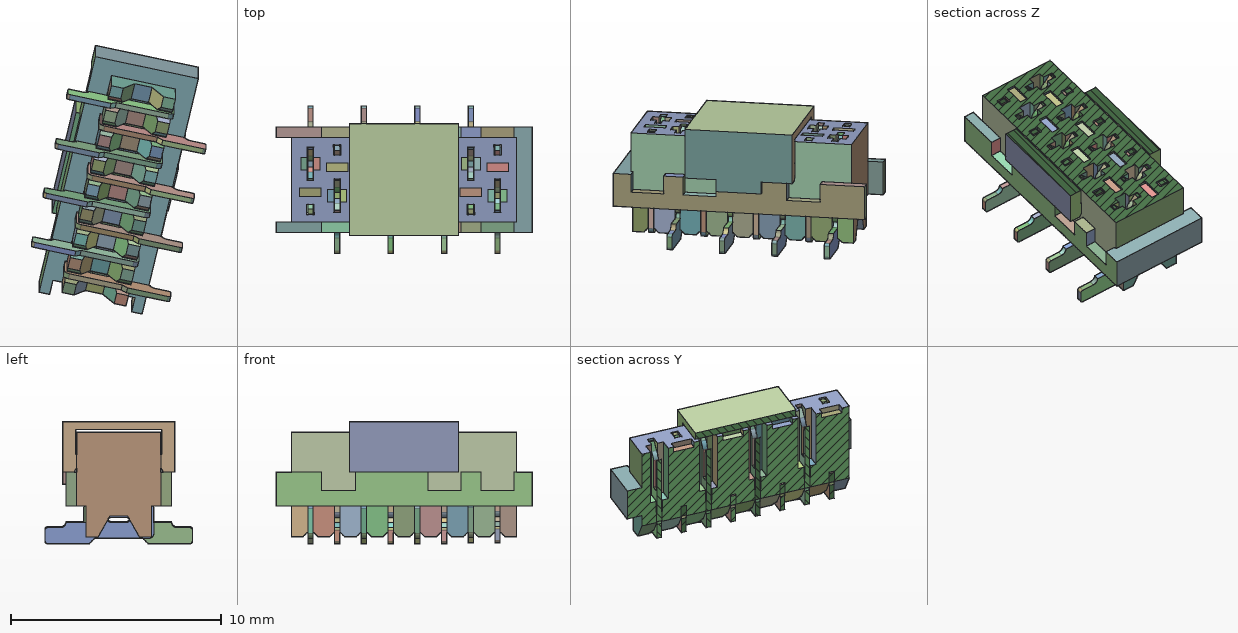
import cadquery as cq
import math


cap_top = 5.8
block_top = 5.3
flange_top = 3.4
flange_bottom = 1.79
skirt_bottom = 0.33

block_length = 10.68
block_width = 3.99
flange_left = -6.07
flange_length = 12.16
flange_right = flange_left + flange_length
flange_width = 5.01
skirt_width = 3.11

notch_floor = 2.53
flange_notches = [(-3.92, -2.3), (1.13, 2.71), (3.66, 5.23)]

channel_top = 1.31
channel_top_width = 0.84
channel_bottom_width = 1.96

contact_count = 8
contact_row_length = 8.88
contact_pitch = contact_row_length / (contact_count - 1)
raised_contacts = (6, 7)
raise_height = 0.05

fork_slot_thickness = 0.3
fork_slot_start = -0.04
fork_slot_end = 1.55
blade_opening = (0.9, 0.6)
blade_opening_y = 0.75
blade_opening_floor = 2.43
post_hole = (0.35, 0.49)
post_hole_y = -1.41
key_pocket = (1.02, 0.39)
key_pocket_y = -0.6
key_pocket_depth = 0.28
relief_width = 0.72
relief_depth = 0.2

contact_thickness = 0.25
tail_end = 3.5
tail_top = 0.77
tail_corner = 0.12
shoulder_y = 2.5
beam_top = 1.02
beam_bottom = 0.25
shoulder_radius = beam_top - tail_top
foot_start = 1.4
foot_slope = beam_bottom
fork_corner_radius = 0.25
neck_outer = 1.22
neck_radius = 0.21
fork_outer = 1.5
fork_inner = -0.01
fork_top = 5.17
fork_tip_width = 0.06
fork_gap_width = 0.28
fork_gap_floor = 2.92
lead_in_end = 4.8
lead_in_run = 0.32
throat_bottom = 4.44
throat_bulge = 0.04
post_outer = -1.63
post_inner = -1.18
post_tip_width = 0.24
post_tip = 5.23
post_slope_drop = 0.23
heel_y = -1.67
heel_radius = 0.24
heel_top = 1.67
window_length = 1.01
window_top = 1.24
bridge_top = flange_bottom - raise_height

cap_length = 5.19
cap_width = 5.31
cap_bottom = flange_top
cap_ceiling = 5.42
cap_recess_width = 4.07
cap_grip_top = 4.27
cap_grip_slope = 0.05
cap_lead_in_start = 3.6
cap_lead_in_width = 4.23
tab_length = 2.19
tab_bottom = 2.82


def box(x_range, y_range, z_range):
    """Box between two limits on each axis."""
    (x0, x1), (y0, y1), (z0, z1) = x_range, y_range, z_range
    return cq.Workplane("XY").box(x1 - x0, y1 - y0, z1 - z0, centered=False).translate((x0, y0, z0))


def centered(size, middle=0.0):
    """Limits of a stretch of the given size about its middle."""
    return (middle - size / 2, middle + size / 2)


def yz_prism(outline, length):
    """Closed YZ outline extruded to a length centred on X = 0."""
    return outline.extrude(length / 2, both=True)


def tail_to_minus_y(index):
    """Every second contact points its tail to -Y."""
    return index % 2 == 1


def place(body, index, lift=0.0):
    """Put a body made at X = 0 with its tail side at +Y into its place in the row."""
    if tail_to_minus_y(index):
        body = body.mirror("XZ")
    return body.translate((index * contact_pitch - contact_row_length / 2, 0, lift))


def arc_middle(center, radius, side):
    """Middle of a lower quarter arc, on the +Y side (side = 1) or -Y side (side = -1)."""
    reach = radius * math.sqrt(0.5)
    return (center[0] + side * reach, center[1] - reach)


def make_contact():
    """Flat stamped contact: board tail, cross beam, heel, retention post and fork."""
    fork_middle = (fork_outer + fork_inner) / 2
    gap_outer = fork_middle + fork_gap_width / 2
    gap_inner = fork_middle - fork_gap_width / 2
    tip_outer = fork_outer - fork_tip_width
    tip_inner = fork_inner + fork_tip_width
    throat_outer = tip_outer - lead_in_run
    throat_inner = tip_inner + lead_in_run
    throat_middle = (lead_in_end + throat_bottom) / 2
    heel_center = (heel_y + heel_radius, beam_bottom + heel_radius)
    fork_corner_center = (fork_outer - fork_corner_radius, window_top + fork_corner_radius)
    neck_center = (neck_outer + neck_radius, beam_top + neck_radius)
    shoulder_center = (shoulder_y + shoulder_radius, beam_top)
    outline = (
        cq.Workplane("YZ")
        .moveTo(tail_end, 0)
        .lineTo(foot_start, 0)
        .lineTo(foot_start - foot_slope, beam_bottom)
        .lineTo(heel_center[0], beam_bottom)
        .threePointArc(arc_middle(heel_center, heel_radius, -1), (heel_y, heel_center[1]))
        .lineTo(heel_y, heel_top)
        .lineTo(post_outer, flange_bottom)
        .lineTo(post_outer, post_tip)
        .lineTo(post_outer + post_tip_width, post_tip)
        .lineTo(post_inner, post_tip - post_slope_drop)
        .lineTo(post_inner, bridge_top)
        .lineTo(fork_inner, bridge_top)
        .lineTo(fork_inner, fork_top)
        .lineTo(tip_inner, fork_top)
        .lineTo(throat_inner, lead_in_end)
        .threePointArc(
            ((throat_inner + gap_inner) / 2 + throat_bulge, throat_middle + throat_bulge),
            (gap_inner, throat_bottom),
        )
        .lineTo(gap_inner, fork_gap_floor)
        .lineTo(gap_outer, fork_gap_floor)
        .lineTo(gap_outer, throat_bottom)
        .threePointArc(
            ((throat_outer + gap_outer) / 2 - throat_bulge, throat_middle + throat_bulge),
            (throat_outer, lead_in_end),
        )
        .lineTo(tip_outer, fork_top)
        .lineTo(fork_outer, fork_top)
        .lineTo(fork_outer, fork_corner_center[1])
        .threePointArc(
            arc_middle(fork_corner_center, fork_corner_radius, 1),
            (fork_corner_center[0], window_top),
        )
        .lineTo(neck_outer, window_top)
        .lineTo(neck_outer, neck_center[1])
        .threePointArc(arc_middle(neck_center, neck_radius, -1), (neck_center[0], beam_top))
        .lineTo(shoulder_y, beam_top)
        .threePointArc(arc_middle(shoulder_center, shoulder_radius, -1), (shoulder_center[0], tail_top))
        .lineTo(tail_end, tail_top)
        .close()
    )
    contact = yz_prism(outline, contact_thickness)
    contact = contact.faces(">Y").edges("|X").fillet(tail_corner)
    window_middle = (beam_top + window_top) / 2
    window = cq.Workplane("YZ").center(0, window_middle).slot2D(window_length, window_top - beam_top)
    return contact.cut(yz_prism(window, contact_thickness))


def make_cavity():
    """Everything removed from the housing around one contact."""
    above_flange = (flange_bottom, block_top)
    fork_slot = box(centered(fork_slot_thickness), (fork_slot_start, fork_slot_end), above_flange)
    blade = box(
        centered(blade_opening[0]),
        centered(blade_opening[1], blade_opening_y),
        (blade_opening_floor, block_top),
    )
    post = box(centered(post_hole[0]), centered(post_hole[1], post_hole_y), above_flange)
    pocket = box(
        centered(key_pocket[0]),
        centered(key_pocket[1], key_pocket_y),
        (block_top - key_pocket_depth, block_top),
    )
    beam_slot = box(centered(contact_thickness), centered(skirt_width), (skirt_bottom, flange_bottom))
    relief = (
        cq.Workplane("XZ")
        .moveTo(-relief_width / 2, skirt_bottom)
        .lineTo(relief_width / 2, skirt_bottom)
        .lineTo(relief_width / 2 - relief_depth, skirt_bottom + relief_depth)
        .lineTo(-relief_width / 2 + relief_depth, skirt_bottom + relief_depth)
        .close()
        .extrude(skirt_width / 2, both=True)
    )
    return fork_slot.union(blade).union(post).union(pocket).union(beam_slot).union(relief)


def make_housing():
    """Block with a flange open at the left end, a skirt and the contact cavities."""
    block_x = centered(block_length)
    block_y = centered(block_width)
    flange_z = (flange_bottom, flange_top)
    flange = box((flange_left, flange_right), centered(flange_width), flange_z)
    flange = flange.cut(box((flange_left, block_x[0]), block_y, flange_z))
    for start, end in flange_notches:
        flange = flange.cut(box((start, end), centered(flange_width), (notch_floor, flange_top)))

    block = box(block_x, block_y, (flange_bottom, block_top))
    skirt = box(block_x, centered(skirt_width), (skirt_bottom, flange_bottom))
    housing = block.union(flange).union(skirt)

    channel = (
        cq.Workplane("YZ")
        .moveTo(-channel_bottom_width / 2, skirt_bottom)
        .lineTo(channel_bottom_width / 2, skirt_bottom)
        .lineTo(channel_top_width / 2, channel_top)
        .lineTo(-channel_top_width / 2, channel_top)
        .close()
    )
    housing = housing.cut(yz_prism(channel, block_length))

    cavity = make_cavity()
    for index in range(contact_count):
        housing = housing.cut(place(cavity, index))
    return housing


def make_cap():
    """Pick-up cap that grips the block sides, with a tab down the +Y side of the flange."""
    cap = box(centered(cap_length), centered(cap_width), (cap_bottom, cap_top))
    recess = (
        cq.Workplane("YZ")
        .moveTo(0, cap_bottom)
        .lineTo(cap_lead_in_width / 2, cap_bottom)
        .lineTo(block_width / 2, cap_lead_in_start)
        .lineTo(block_width / 2, cap_grip_top - cap_grip_slope)
        .lineTo(cap_recess_width / 2, cap_grip_top)
        .lineTo(cap_recess_width / 2, cap_ceiling)
        .lineTo(0, cap_ceiling)
        .close()
    )
    half_recess = yz_prism(recess, cap_length)
    cap = cap.cut(half_recess).cut(half_recess.mirror("XZ"))
    tab = box(centered(tab_length), (flange_width / 2, cap_width / 2), (tab_bottom, cap_top))
    return cap.union(tab)


contacts = []
for contact_index in range(contact_count):
    contact_lift = raise_height if contact_index in raised_contacts else 0.0
    contacts.append(place(make_contact(), contact_index, contact_lift).val())

housing = make_housing()
cap = make_cap()

result = cq.Compound.makeCompound([housing.val(), cap.val(), *contacts])